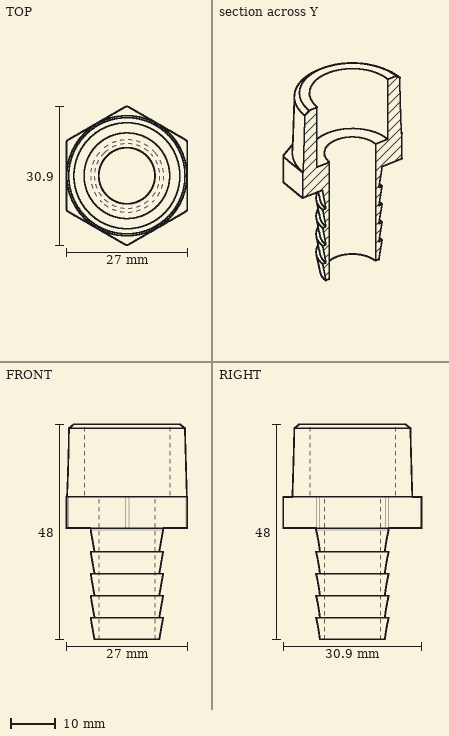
import cadquery as cq
import math

TOTAL_HEIGHT = 48.05
HEX_BOTTOM = 24.85
HEX_HEIGHT = 6.95
HEX_TOP = HEX_BOTTOM + HEX_HEIGHT

HEX_ACROSS_FLATS = 27.0
HEX_CORNER_RADIUS = 0.75

BARB_COUNT = 5
BARB_PITCH = 4.9
BARB_SMALL_RADIUS = 7.25
BARB_LARGE_RADIUS = 8.1

SPIGOT_BASE_RADIUS = 13.4
SPIGOT_TOP_RADIUS = 13.0
RIM_RADIUS = 11.8
RIM_CHAMFER_HEIGHT = 0.95

BORE_RADIUS = 6.25
SOCKET_RADIUS = 9.55
SOCKET_DEPTH = TOTAL_HEIGHT - HEX_TOP


def revolve_profile(points):
    """Revolve a closed (radius, height) outline about the Z axis."""
    return cq.Workplane("XZ").polyline(points).close().revolve(360, (0, 0, 0), (0, 1, 0))


def make_hose_tail():
    points = [(0, 0)]
    for barb in range(BARB_COUNT):
        barb_bottom = barb * BARB_PITCH
        points.append((BARB_SMALL_RADIUS, barb_bottom))
        points.append((BARB_LARGE_RADIUS, barb_bottom + BARB_PITCH))
    points.append((BARB_LARGE_RADIUS, HEX_BOTTOM))
    points.append((0, HEX_BOTTOM))
    return revolve_profile(points)


def make_collar():
    across_corners = HEX_ACROSS_FLATS / math.cos(math.radians(30))
    return (
        cq.Workplane("XY")
        .polygon(6, across_corners)
        .extrude(HEX_HEIGHT)
        .edges("|Z")
        .fillet(HEX_CORNER_RADIUS)
        .rotate((0, 0, 0), (0, 0, 1), 30)
        .translate((0, 0, HEX_BOTTOM))
    )


def make_spigot():
    return revolve_profile([
        (0, HEX_TOP),
        (SPIGOT_BASE_RADIUS, HEX_TOP),
        (SPIGOT_TOP_RADIUS, TOTAL_HEIGHT - RIM_CHAMFER_HEIGHT),
        (RIM_RADIUS, TOTAL_HEIGHT),
        (0, TOTAL_HEIGHT),
    ])


def make_bore():
    through_hole = cq.Workplane("XY").circle(BORE_RADIUS).extrude(TOTAL_HEIGHT)
    socket = (
        cq.Workplane("XY", origin=(0, 0, TOTAL_HEIGHT - SOCKET_DEPTH))
        .circle(SOCKET_RADIUS)
        .extrude(SOCKET_DEPTH)
    )
    return through_hole.union(socket)


result = make_hose_tail().union(make_collar()).union(make_spigot()).cut(make_bore())